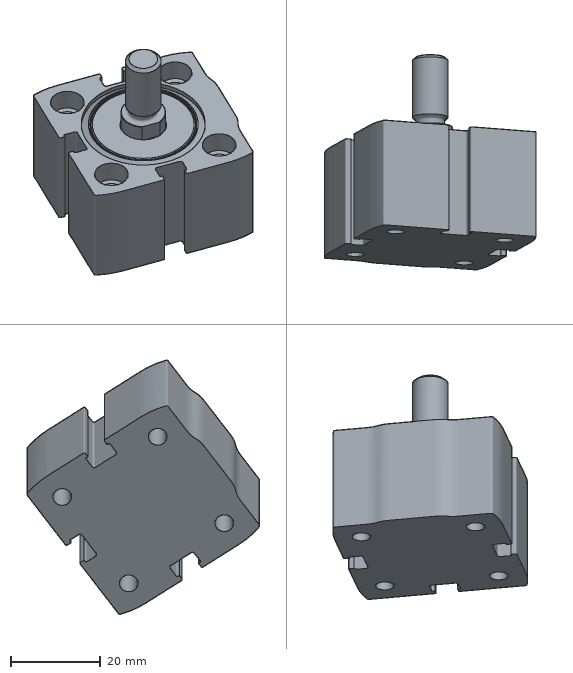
import cadquery as cq
import math

HOUSING_SIZE = 38.5
HOUSING_HEIGHT = 24.0
HALF = HOUSING_SIZE / 2
SIDE_FLAT_HALF = 12.8
SIDE_ARC_RADIUS = 20.0
CORNER_FILLET = 0.52

PAD_RISE = 1.0
PAD_TOP_HALF = 5.4
PAD_FOOT_HALF = 10.45

SLOT_MOUTH_WIDTH = 5.2
SLOT_LIP = 1.3
SLOT_WIDTH = 6.52
SLOT_DEPTH = 4.45
SLOT_FILLET = 0.3
SLOT_FLOOR_FILLET = 0.52

HOLE_OFFSET = 13.05
HOLE_DIAMETER = 4.15
HOLE_CHAMFER_DIAMETER = 5.0
COUNTERBORE_DIAMETER = 7.5
COUNTERBORE_DEPTH = 5.0

GROOVE_OUTER_RADIUS = 27.8 / 2
GROOVE_CREST_RADIUS = 12.3
CREST_DROP = 0.15
CONE_ANGLE = math.radians(30)
CREST_Z = HOUSING_HEIGHT - CREST_DROP
GROOVE_FLOOR = CREST_Z - (GROOVE_OUTER_RADIUS - GROOVE_CREST_RADIUS) * math.tan(CONE_ANGLE)

COVER_RADIUS = 11.4
COVER_DROP = 0.2
COVER_Z = HOUSING_HEIGHT - COVER_DROP
LAND_RADIUS = 12.0
LAND_DIP = 0.05
BEVEL_GAP = 0.1
BEVEL_RADIUS = 11.7
SHALLOW_BEVEL_DROP = 0.15
STEEP_BEVEL_DROP = 0.2

ROD_TOP = 43.5
ROD_RADIUS = 10.0 / 2
ROD_BOTTOM = 17.4
ROD_FLATS = 9.0
ROD_EDGE_CHAMFER = 0.1
COLLAR_HEIGHT = 3.5
ROD_RECESS_RADIUS = 5.18
ROD_RECESS_DEPTH = 0.85
RECESS_FLOOR = HOUSING_HEIGHT - ROD_RECESS_DEPTH

THREAD_RADIUS = 8.0 / 2
THREAD_TIP_RADIUS = 6.4 / 2
THREAD_TIP_LENGTH = 0.7
NECK_RADIUS = 3.2
NECK_FILLET = 0.6
UNDERCUT_LENGTH = 2.25
COLLAR_TOP = HOUSING_HEIGHT + COLLAR_HEIGHT
THREAD_BOTTOM = COLLAR_TOP + UNDERCUT_LENGTH


def revolve_profile(points):
    """Solid of revolution about Z from a closed outline of (radius, z) points."""
    return cq.Workplane("XZ").polyline(points).close().revolve(360, (0, 0, 0), (0, 1, 0))


def round_vertical_edges(body, places, radius):
    """Fillet the vertical edge of the housing at each (x, y) place."""
    for x, y in places:
        edge = cq.NearestToPointSelector((x, y, HOUSING_HEIGHT / 2))
        body = body.edges("|Z").edges(edge).fillet(radius)
    return body


def housing_block():
    arc_angle = math.asin((HALF - SIDE_FLAT_HALF) / SIDE_ARC_RADIUS)
    corner_x = HALF - SIDE_ARC_RADIUS * (1 - math.cos(arc_angle))
    mid_y = SIDE_FLAT_HALF + SIDE_ARC_RADIUS * math.sin(arc_angle / 2)
    mid_x = HALF - SIDE_ARC_RADIUS * (1 - math.cos(arc_angle / 2))
    s_curve_mid = ((PAD_TOP_HALF + PAD_FOOT_HALF) / 2, HALF + PAD_RISE / 2)
    block = (
        cq.Workplane("XY")
        .moveTo(-corner_x, -HALF)
        .lineTo(corner_x, -HALF)
        .threePointArc((mid_x, -mid_y), (HALF, -SIDE_FLAT_HALF))
        .lineTo(HALF, SIDE_FLAT_HALF)
        .threePointArc((mid_x, mid_y), (corner_x, HALF))
        .lineTo(PAD_FOOT_HALF, HALF)
        .tangentArcPoint(s_curve_mid, relative=False)
        .tangentArcPoint((PAD_TOP_HALF, HALF + PAD_RISE), relative=False)
        .lineTo(-PAD_TOP_HALF, HALF + PAD_RISE)
        .tangentArcPoint((-s_curve_mid[0], s_curve_mid[1]), relative=False)
        .tangentArcPoint((-PAD_FOOT_HALF, HALF), relative=False)
        .lineTo(-corner_x, HALF)
        .threePointArc((-mid_x, mid_y), (-HALF, SIDE_FLAT_HALF))
        .lineTo(-HALF, -SIDE_FLAT_HALF)
        .threePointArc((-mid_x, -mid_y), (-corner_x, -HALF))
        .close()
        .extrude(HOUSING_HEIGHT)
    )
    corners = [(x, y) for x in (-corner_x, corner_x) for y in (-HALF, HALF)]
    return round_vertical_edges(block, corners, CORNER_FILLET)


def t_slot():
    """Cutter for a T-slot that opens in the -Y side."""
    mouth = cq.Workplane("XY").box(SLOT_MOUTH_WIDTH, SLOT_DEPTH, HOUSING_HEIGHT, centered=(True, False, False))
    chamber = (
        cq.Workplane("XY")
        .box(SLOT_WIDTH, SLOT_DEPTH - SLOT_LIP, HOUSING_HEIGHT, centered=(True, False, False))
        .edges("|Z and <Y")
        .fillet(SLOT_FILLET)
        .edges("|Z and >Y")
        .fillet(SLOT_FLOOR_FILLET)
        .translate((0, SLOT_LIP, 0))
    )
    return mouth.union(chamber).translate((0, -HALF, 0))


def cut_t_slots(block):
    half_mouth = SLOT_MOUTH_WIDTH / 2
    for turn in (-90, 0, 90):
        block = block.cut(t_slot().rotate((0, 0, 0), (0, 0, 1), turn))
    lips = [(x, -HALF) for x in (-half_mouth, half_mouth)]
    lips += [(x, y) for x in (-HALF, HALF) for y in (-half_mouth, half_mouth)]
    return round_vertical_edges(block, lips, SLOT_FILLET)


def mounting_hole():
    """Cutter for a through hole with a counterbore and a chamfer at the counterbore floor."""
    radius = HOLE_DIAMETER / 2
    chamfer_radius = HOLE_CHAMFER_DIAMETER / 2
    bore_radius = COUNTERBORE_DIAMETER / 2
    floor_z = HOUSING_HEIGHT - COUNTERBORE_DEPTH
    profile = [
        (0, 0),
        (radius, 0),
        (radius, floor_z - (chamfer_radius - radius)),
        (chamfer_radius, floor_z),
        (bore_radius, floor_z),
        (bore_radius, HOUSING_HEIGHT),
        (0, HOUSING_HEIGHT),
    ]
    return revolve_profile(profile)


def cover_recess():
    """Cutter above the cover: straight wall, cone up to the crest, land, two bevels, flat cover face."""
    bevel_z = COVER_Z - SHALLOW_BEVEL_DROP
    profile = [
        (0, HOUSING_HEIGHT),
        (GROOVE_OUTER_RADIUS, HOUSING_HEIGHT),
        (GROOVE_OUTER_RADIUS, GROOVE_FLOOR),
        (GROOVE_CREST_RADIUS, CREST_Z),
        (LAND_RADIUS, CREST_Z - LAND_DIP),
        (LAND_RADIUS, bevel_z - STEEP_BEVEL_DROP),
        (LAND_RADIUS - BEVEL_GAP, bevel_z - STEEP_BEVEL_DROP),
        (BEVEL_RADIUS, bevel_z),
        (COVER_RADIUS, COVER_Z),
        (0, COVER_Z),
    ]
    return revolve_profile(profile)


def rod_hole():
    """Cutter for the blind hole that carries the rod, with a wider recess at its mouth."""
    profile = [
        (0, ROD_BOTTOM),
        (ROD_RADIUS, ROD_BOTTOM),
        (ROD_RADIUS, RECESS_FLOOR),
        (ROD_RECESS_RADIUS, RECESS_FLOOR),
        (ROD_RECESS_RADIUS, HOUSING_HEIGHT),
        (0, HOUSING_HEIGHT),
    ]
    return revolve_profile(profile)


def make_housing():
    housing = cut_t_slots(housing_block())
    for x in (-HOLE_OFFSET, HOLE_OFFSET):
        for y in (-HOLE_OFFSET, HOLE_OFFSET):
            housing = housing.cut(mounting_hole().translate((x, y, 0)))
    return housing.cut(cover_recess()).cut(rod_hole())


def flat_cutter():
    """Cutter for the two wrench flats; their lower ends run out on the cone of the shank."""
    slab = cq.Workplane("XY").box(ROD_FLATS, 4 * ROD_RADIUS, ROD_TOP, centered=(True, True, False))
    ring = (
        cq.Workplane("XY")
        .circle(2 * ROD_RADIUS)
        .extrude(COLLAR_TOP - RECESS_FLOOR)
        .translate((0, 0, RECESS_FLOOR))
    )
    shoulder = revolve_profile([
        (0, RECESS_FLOOR),
        (ROD_RADIUS, RECESS_FLOOR),
        (0, RECESS_FLOOR + ROD_RADIUS * math.tan(CONE_ANGLE)),
    ])
    return ring.cut(slab).cut(shoulder)


def make_rod():
    cone_angle = math.radians(45)
    cone_foot = THREAD_BOTTOM - (THREAD_RADIUS - NECK_RADIUS)
    neck_top = cone_foot - NECK_FILLET * math.tan(cone_angle / 2)
    cone_end_radius = NECK_RADIUS + NECK_FILLET * (1 - math.cos(cone_angle))
    cone_end_z = neck_top + NECK_FILLET * math.sin(cone_angle)
    profile = (
        cq.Workplane("XZ")
        .moveTo(0, ROD_BOTTOM)
        .lineTo(ROD_RADIUS, ROD_BOTTOM)
        .lineTo(ROD_RADIUS, COLLAR_TOP - ROD_EDGE_CHAMFER)
        .lineTo(ROD_RADIUS - ROD_EDGE_CHAMFER, COLLAR_TOP)
        .lineTo(NECK_RADIUS + NECK_FILLET, COLLAR_TOP)
        .radiusArc((NECK_RADIUS, COLLAR_TOP + NECK_FILLET), NECK_FILLET)
        .lineTo(NECK_RADIUS, neck_top)
        .tangentArcPoint((cone_end_radius, cone_end_z), relative=False)
        .lineTo(THREAD_RADIUS, THREAD_BOTTOM)
        .lineTo(THREAD_RADIUS, ROD_TOP - THREAD_TIP_LENGTH)
        .lineTo(THREAD_TIP_RADIUS, ROD_TOP)
        .lineTo(0, ROD_TOP)
        .close()
    )
    rod = profile.revolve(360, (0, 0, 0), (0, 1, 0))
    return rod.cut(flat_cutter())


housing = make_housing()
rod = make_rod()
result = cq.Compound.makeCompound([housing.val(), rod.val()])